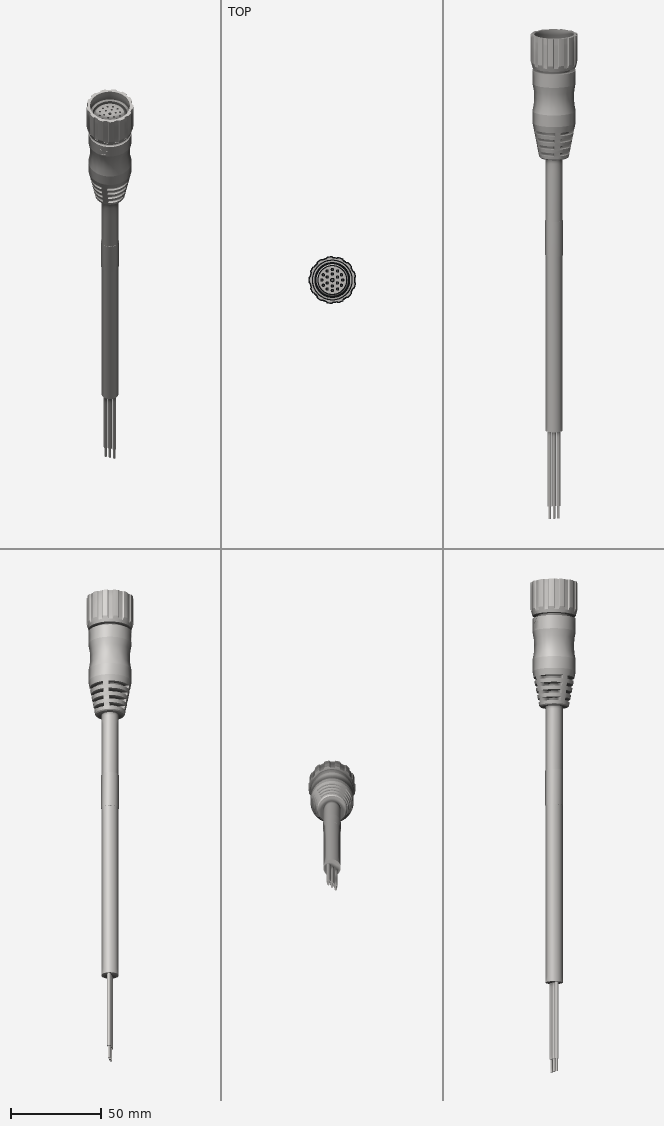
import cadquery as cq
import math

total_height = 276.0
nut_bottom = 257.2
nut_bevel_top = 260.5
insert_top = 269.7
collar_top = 255.5
collar_bottom = 248.0
grip_ring_top = 232.5
grip_ring_bottom = 225.8
boot_bottom = 206.0
label_top = 170.0
label_bottom = 150.1
jacket_bottom = 50.2
insulation_bottom = 7.2

nut_radius = 13.0
nut_bottom_radius = 24.0 / 2
nut_mouth_radius = 11.0
nut_mouth_depth = 6.0
nut_bore_radius = 9.7
nut_flange_thickness = 2.8
flute_count = 13
flute_depth = 0.7
flute_floor_width = 2.2
flute_mouth_width = 3.5
flute_bottom = 259.0

body_radius = nut_bottom_radius
waist_radius = 11.0
boot_tip_radius = 8.3
neck_radius = 9.0
insert_chamfer = 1.0
boot_end_chamfer = 0.5

centre_hole_radius = 0.97
contact_radius = 0.6
contact_depth = 4.1
contact_rings = ((6, 3.3), (12, 5.8))
contact_phase = 90.0

arrow_bottom = 249.0
arrow_shoulder = 252.0
arrow_tip = 254.7
arrow_half_width = 2.2
arrow_stem_half_width = 1.25
arrow_depth = 0.3

slot_count = 4
slot_top = 222.2
slot_height = 2.0
slot_land = 2.07
slot_pitch = slot_height + slot_land
top_slot_floor_radius = 8.3
rib_width = 3.0

cable_radius = 9.7 / 2
label_thickness = 0.08
label_radius = cable_radius + label_thickness
wire_pitch = 2.5
wire_radius = 1.0
strand_radius = 0.7
wire_count = 3


def cylinder(radius, bottom, top, x=0.0):
    """Upright cylinder between two heights."""
    return cq.Workplane("XY", origin=(x, 0, bottom)).circle(radius).extrude(top - bottom)


def make_flute():
    """Cutter for one flute: a flat floor between sloping walls, carried past the nut's outside."""
    floor_x = nut_radius - flute_depth
    outer_x = nut_radius + flute_depth
    wall_spread = (flute_mouth_width - flute_floor_width) / 2
    half_floor = flute_floor_width / 2
    half_outer = half_floor + 2 * wall_spread
    return (
        cq.Workplane("XY", origin=(0, 0, flute_bottom))
        .polyline(
            [
                (floor_x, -half_floor),
                (outer_x, -half_outer),
                (outer_x, half_outer),
                (floor_x, half_floor),
            ]
        )
        .close()
        .extrude(total_height - flute_bottom)
    )


def make_nut():
    """Fluted coupling nut: bevelled below, wide at the mouth, and held by a flange round the neck."""
    nut = (
        cq.Workplane("XZ")
        .moveTo(neck_radius, nut_bottom)
        .lineTo(nut_bottom_radius, nut_bottom)
        .lineTo(nut_radius, nut_bevel_top)
        .lineTo(nut_radius, total_height)
        .lineTo(nut_mouth_radius, total_height)
        .lineTo(nut_mouth_radius, total_height - nut_mouth_depth)
        .lineTo(nut_bore_radius, total_height - nut_mouth_depth)
        .lineTo(nut_bore_radius, nut_bottom + nut_flange_thickness)
        .lineTo(neck_radius, nut_bottom + nut_flange_thickness)
        .close()
        .revolve(360, (0, 0, 0), (0, 1, 0))
    )
    flute = make_flute()
    for i in range(flute_count):
        nut = nut.cut(flute.rotate((0, 0, 0), (0, 0, 1), 360 * i / flute_count))
    return nut


def make_connector_body():
    """Turned outline of the insert, neck, collar, waisted grip and tapered boot."""
    waist_height = (collar_bottom + grip_ring_top) / 2
    return (
        cq.Workplane("XZ")
        .moveTo(0, boot_bottom)
        .lineTo(boot_tip_radius - boot_end_chamfer, boot_bottom)
        .lineTo(boot_tip_radius, boot_bottom + boot_end_chamfer)
        .lineTo(body_radius, grip_ring_bottom)
        .lineTo(body_radius, grip_ring_top)
        .threePointArc((waist_radius, waist_height), (body_radius, collar_bottom))
        .lineTo(body_radius, collar_top)
        .lineTo(neck_radius, collar_top)
        .lineTo(neck_radius, insert_top - insert_chamfer)
        .lineTo(neck_radius - insert_chamfer, insert_top)
        .lineTo(0, insert_top)
        .close()
        .revolve(360, (0, 0, 0), (0, 1, 0))
    )


def make_contact_holes():
    """Blind holes in the insert face."""
    points = []
    for count, ring_radius in contact_rings:
        for i in range(count):
            angle = math.radians(contact_phase + 360 * i / count)
            points.append((ring_radius * math.cos(angle), ring_radius * math.sin(angle)))
    contacts = (
        cq.Workplane("XY", origin=(0, 0, insert_top))
        .pushPoints(points)
        .circle(contact_radius)
        .extrude(-contact_depth)
    )
    return contacts.union(cylinder(centre_hole_radius, insert_top - contact_depth, insert_top))


def make_arrow():
    """Cutter for the arrow: an upward arrow cut to one even depth below the collar's surface."""
    half_outline = [
        (arrow_stem_half_width, arrow_bottom),
        (arrow_stem_half_width, arrow_shoulder),
        (arrow_half_width, arrow_shoulder),
    ]
    mirrored = [(-x, z) for x, z in reversed(half_outline)]
    arrow = (
        cq.Workplane("XZ")
        .polyline(half_outline + [(0, arrow_tip)] + mirrored)
        .close()
        .extrude(2 * body_radius)
    )
    return arrow.cut(cylinder(body_radius - arrow_depth, collar_bottom, collar_top))


def make_slot(top, floor_radius):
    """One ring slot round the boot, interrupted by four ribs."""
    slot = cylinder(body_radius, top - slot_height, top).cut(
        cylinder(floor_radius, top - slot_height, top)
    )
    ribs = (
        cq.Workplane("XY", origin=(0, 0, top - slot_height))
        .rect(2 * body_radius, rib_width)
        .extrude(slot_height)
        .union(
            cq.Workplane("XY", origin=(0, 0, top - slot_height))
            .rect(rib_width, 2 * body_radius)
            .extrude(slot_height)
        )
    )
    return slot.cut(ribs)


def make_cable():
    """Jacket with its label sleeve, and a flat row of stripped wires at the lower end."""
    cable = cylinder(cable_radius, jacket_bottom, boot_bottom)
    cable = cable.union(cylinder(label_radius, label_bottom, label_top))
    for i in range(wire_count):
        x = (i - (wire_count - 1) / 2) * wire_pitch
        cable = cable.union(cylinder(wire_radius, insulation_bottom, jacket_bottom, x))
        cable = cable.union(cylinder(strand_radius, 0, insulation_bottom, x))
    return cable


def make_plug():
    """Moulded connector body together with its cable."""
    plug = make_connector_body().cut(make_contact_holes()).cut(make_arrow())
    for i in range(slot_count):
        floor_radius = top_slot_floor_radius if i == 0 else cable_radius
        plug = plug.cut(make_slot(slot_top - i * slot_pitch, floor_radius))
    return plug.union(make_cable())


nut = make_nut()
plug = make_plug()
result = cq.Compound.makeCompound([nut.val(), plug.val()])